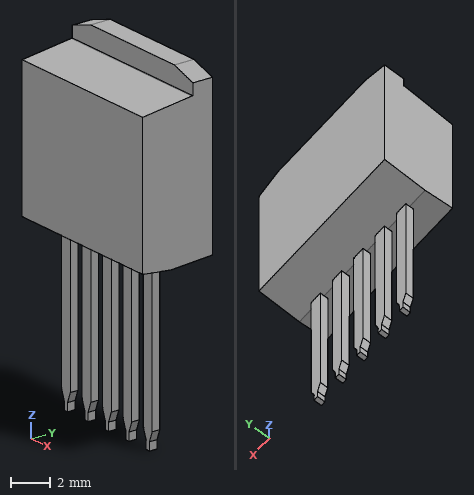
import cadquery as cq

width = 10.01
depth = 4.5
height = 20.73

tab_height = 1.2
tab_thickness = 1.26
tab_corner_run = 1.53
tab_corner_drop = 0.5

body_top = height - tab_height
front_top_drop = 0.4
top_ledge = 0.06
body_bottom = 10.32
front_bottom_rise = 0.2
back_bottom_rise = 0.17

lead_count = 5
lead_pitch = 1.7
lead_width = 0.75
lead_thickness = 0.5
lead_center_y = -2.67
tip_width = 0.3
tip_length = 0.52
taper_top = 1.15
lead_embed = 1.04


def make_body():
    """Block with a sloping top and a bottom that peaks downward at the leads."""
    profile = [
        (0, body_bottom + back_bottom_rise),
        (0, body_top),
        (-tab_thickness - top_ledge, body_top),
        (-depth, body_top - front_top_drop),
        (-depth, body_bottom + front_bottom_rise),
        (lead_center_y, body_bottom),
    ]
    return cq.Workplane("YZ").polyline(profile).close().extrude(width / 2, both=True)


def make_tab():
    """Plate rising flush with the back face, with two sloped upper corners."""
    half_width = width / 2
    half_top = half_width - tab_corner_run
    shoulder = height - tab_corner_drop
    outline = [
        (-half_width, body_top),
        (half_width, body_top),
        (half_width, shoulder),
        (half_top, height),
        (-half_top, height),
        (-half_width, shoulder),
    ]
    return cq.Workplane("XZ").polyline(outline).close().extrude(tab_thickness)


def make_lead(center_x):
    """Flat lead that tapers to a narrow square-ended tip."""
    half_width = lead_width / 2
    half_tip = tip_width / 2
    lead_top = body_bottom + lead_embed
    outline = [
        (-half_tip, 0),
        (half_tip, 0),
        (half_tip, tip_length),
        (half_width, taper_top),
        (half_width, lead_top),
        (-half_width, lead_top),
        (-half_width, taper_top),
        (-half_tip, tip_length),
    ]
    plane = cq.Workplane("XZ", origin=(center_x, lead_center_y, 0))
    return plane.polyline(outline).close().extrude(lead_thickness / 2, both=True)


result = make_body().union(make_tab())
for index in range(lead_count):
    lead_x = (index - (lead_count - 1) / 2) * lead_pitch
    result = result.union(make_lead(lead_x))